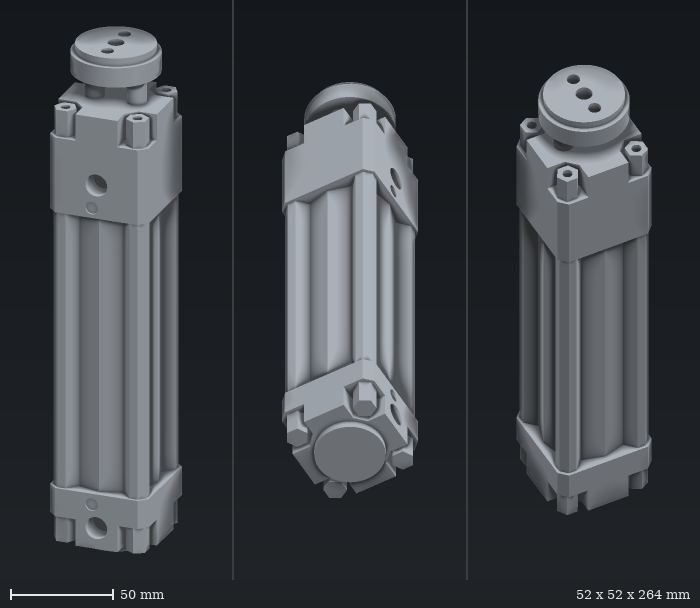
import cadquery as cq
import math

BOTTOM_HEAD_Z = 4.2
TUBE_BOTTOM_Z = 33.3
TUBE_TOP_Z = 180.3
TOP_HEAD_Z = 234.2
PLATE_Z = 249.5
PLATE_STEP_Z = 259.8
OVERALL_HEIGHT = 264

HEAD_WIDTH = 52.0
HEAD_CHAMFER = 4.2
BOSS_DIAMETER = 35.0

NOTCH_DEPTH = 14.0
NOTCH_WALL = 11.0
NOTCH_CORNER = 5.3
NUT_PITCH = 38.0
NUT_SIDES = 6
NUT_ACROSS_FLATS = 10.0
NUT_HOLE_DIAMETER = 5.0
NUT_HOLE_DEPTH = 8
DRILL_POINT_ANGLE = 118

TUBE_WIDTH = 49.0
TUBE_CHAMFER = 3.5
FLUTE_HALF_WIDTH = 17.0
RIDGE_HALF_WIDTH = 11.5
RIDGE_SLOPE = 15

PORT_DIAMETER = 11.5
PORT_DEPTH = 10.5
SCREW_HOLE_DIAMETER = 6.5
SCREW_HOLE_DEPTH = 1.0
SCREW_HOLE_X = -2.5
TOP_PORT_Z = 198
TOP_SCREW_HOLE_Z = 185.5
BOTTOM_PORT_Z = 15.3
BOTTOM_SCREW_HOLE_Z = 27.5

ROD_DIAMETER = 10.0
ROD_PITCH = 22.2
PLATE_DIAMETER = 45
PLATE_STEP_DIAMETER = 40.0
PLATE_CENTRE_HOLE_DIAMETER = 8.5
PLATE_SIDE_HOLE_DIAMETER = 6.5
PLATE_SIDE_HOLE_PITCH = 22.5

QUARTER_TURNS = (0, 90, 180, 270)


def cylinder(diameter, bottom_z, top_z, x=0, y=0):
    """Upright cylinder between two levels."""
    base = cq.Workplane("XY", origin=(x, y, bottom_z))
    return base.circle(diameter / 2).extrude(top_z - bottom_z)


def turned(shape, angle):
    """Copy of a shape turned about the cylinder axis."""
    return shape.rotate((0, 0, 0), (0, 0, 1), angle)


def corner_notch(bottom_z):
    """Cutter for the notch at the -X -Y corner of a head."""
    outside = HEAD_WIDTH
    corner_end = NOTCH_WALL + NOTCH_CORNER
    outline = [
        (-outside, -outside),
        (-NOTCH_WALL, -outside),
        (-NOTCH_WALL, -corner_end),
        (-corner_end, -NOTCH_WALL),
        (-outside, -NOTCH_WALL),
    ]
    return cq.Workplane("XY", origin=(0, 0, bottom_z)).polyline(outline).close().extrude(NOTCH_DEPTH)


def nut(bottom_z):
    """Hexagonal nut at the -X -Y corner, with two sides parallel to X."""
    across_corners = NUT_ACROSS_FLATS / math.cos(math.pi / NUT_SIDES)
    centre = (-NUT_PITCH / 2, -NUT_PITCH / 2, bottom_z)
    return cq.Workplane("XY", origin=centre).polygon(NUT_SIDES, across_corners).extrude(NOTCH_DEPTH)


def nut_hole():
    """Cutter for the blind hole with a drill point in a top nut at the -X -Y corner."""
    radius = NUT_HOLE_DIAMETER / 2
    point_depth = radius / math.tan(math.radians(DRILL_POINT_ANGLE / 2))
    outline = [
        (0, 0),
        (radius, 0),
        (radius, -NUT_HOLE_DEPTH),
        (0, -NUT_HOLE_DEPTH - point_depth),
    ]
    drill = cq.Workplane("XZ").polyline(outline).close().revolve(360, (0, 0), (0, 1))
    return drill.translate((-NUT_PITCH / 2, -NUT_PITCH / 2, TOP_HEAD_Z))


def side_hole(diameter, depth, x, z):
    """Cutter for a blind hole in the -Y side of a head."""
    return cq.Workplane("XZ", origin=(x, -HEAD_WIDTH / 2, z)).circle(diameter / 2).extrude(-depth)


def head(bottom_z, top_z, notch_z):
    """Square end head with a nut in a notch at each corner."""
    height = top_z - bottom_z
    body = cq.Workplane("XY", origin=(0, 0, bottom_z)).rect(HEAD_WIDTH, HEAD_WIDTH).extrude(height)
    body = body.edges("|Z").chamfer(HEAD_CHAMFER)
    for angle in QUARTER_TURNS:
        body = body.cut(turned(corner_notch(notch_z), angle))
        body = body.union(turned(nut(notch_z), angle))
    return body


def fluted_tube():
    """Square tube body whose four sides have two flutes with a shallow ridge between them."""
    half = TUBE_WIDTH / 2
    flat_end = half - TUBE_CHAMFER
    root = half - (FLUTE_HALF_WIDTH - RIDGE_HALF_WIDTH)
    ridge = root + RIDGE_HALF_WIDTH * math.tan(math.radians(RIDGE_SLOPE))
    side = [
        (-flat_end, -half),
        (-FLUTE_HALF_WIDTH, -half),
        (-RIDGE_HALF_WIDTH, -root),
        (0, -ridge),
        (RIDGE_HALF_WIDTH, -root),
        (FLUTE_HALF_WIDTH, -half),
        (flat_end, -half),
    ]
    outline = []
    for _ in QUARTER_TURNS:
        outline += side
        side = [(-y, x) for x, y in side]
    profile = cq.Workplane("XY", origin=(0, 0, TUBE_BOTTOM_Z)).polyline(outline).close()
    return profile.extrude(TUBE_TOP_Z - TUBE_BOTTOM_Z)


def make_housing():
    """Cylinder housing: both heads, the tube and the bottom boss."""
    top_head = head(TUBE_TOP_Z, TOP_HEAD_Z, TOP_HEAD_Z - NOTCH_DEPTH)
    bottom_head = head(BOTTOM_HEAD_Z, TUBE_BOTTOM_Z, BOTTOM_HEAD_Z)
    body = fluted_tube().union(top_head).union(bottom_head)
    body = body.union(cylinder(BOSS_DIAMETER, 0, BOTTOM_HEAD_Z))
    for angle in QUARTER_TURNS:
        body = body.cut(turned(nut_hole(), angle))
    for z in (TOP_PORT_Z, BOTTOM_PORT_Z):
        body = body.cut(side_hole(PORT_DIAMETER, PORT_DEPTH, 0, z))
    for z in (TOP_SCREW_HOLE_Z, BOTTOM_SCREW_HOLE_Z):
        body = body.cut(side_hole(SCREW_HOLE_DIAMETER, SCREW_HOLE_DEPTH, SCREW_HOLE_X, z))
    return body


def make_tool_plate():
    """Stepped round plate carried by two rods that stand on the top head."""
    plate = cylinder(PLATE_DIAMETER, PLATE_Z, PLATE_STEP_Z)
    plate = plate.union(cylinder(PLATE_STEP_DIAMETER, PLATE_STEP_Z, OVERALL_HEIGHT))
    plate = plate.cut(cylinder(PLATE_CENTRE_HOLE_DIAMETER, PLATE_Z, OVERALL_HEIGHT))
    for side in (-1, 1):
        hole_y = side * PLATE_SIDE_HOLE_PITCH / 2
        plate = plate.cut(cylinder(PLATE_SIDE_HOLE_DIAMETER, PLATE_Z, OVERALL_HEIGHT, y=hole_y))
        rod_x = side * ROD_PITCH / 2
        plate = plate.union(cylinder(ROD_DIAMETER, TOP_HEAD_Z, PLATE_Z, x=rod_x))
    return plate


housing = make_housing()
tool_plate = make_tool_plate()

result = cq.Compound.makeCompound([housing.val(), tool_plate.val()])